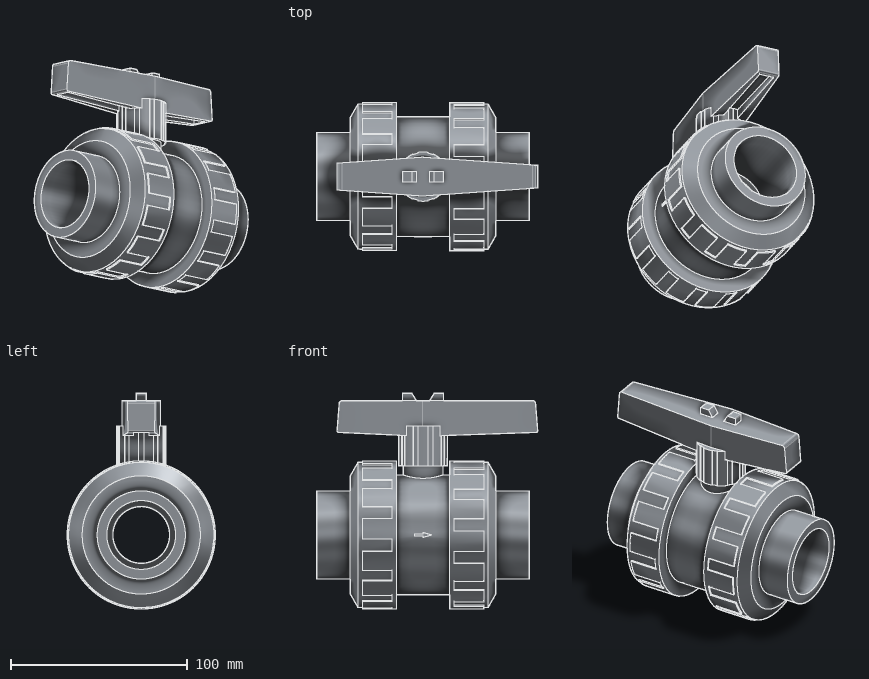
import cadquery as cq
import math


pipe_half_length = 60.25
pipe_radius = 25.0
socket_radius = 19.5
bore_radius = 16.0
body_radius = 34.0

nut_radius = 42.0
nut_root_radius = 41.2
nut_end_radius = 33.5
nut_inner_x = 15.0
nut_outer_x = 41.25
nut_chamfer_x = 36.85
gap_inner_x = 17.6
gap_outer_x = 34.4
tooth_count = 14
tooth_angle = 16.0
tooth_phase = 5.0

arrow_half_length = 4.8
arrow_shaft_half_width = 0.65
arrow_head_half_width = 1.4
arrow_height = 0.3

neck_radius = 11.3
hub_radius = 14.0
hub_groove_floor_radius = 13.6
hub_bottom_z = 39.05
hub_top_z = 61.8
hub_groove_count = 10
hub_groove_angle = 12.0

lever_right_x = 65.08
lever_left_x = -48.85
lever_ridge_x = -0.35
lever_top_z = 76.1
lever_end_bottom_z = 58.05
lever_mid_bottom_z = 55.8
lever_half_width = 11.0
lever_taper = 4.0
lever_end_draft = 4.5
lever_top_fillet = 1.8
lever_bottom_fillet = 1.0
lever_cavity_width = 8.7
lever_end_wall = 3.0

tab_top_z = 80.33
tab_width = 5.85
tab_outer_x = 11.7
tab_inner_base_x = 3.75
tab_inner_top_x = 6.3
tab_fillet = 0.4


def x_cylinder(radius, x_start, x_end):
    """Cylinder on the flow axis."""
    return cq.Workplane("YZ", origin=(x_start, 0, 0)).circle(radius).extrude(x_end - x_start)


def z_cylinder(radius, z_start, z_end):
    """Cylinder on the stem axis."""
    return cq.Workplane("XY", origin=(0, 0, z_start)).circle(radius).extrude(z_end - z_start)


def wedge(plane, origin, angle, width_angle, reach, depth):
    """Triangular prism with its apex on the axis, centred on the given angle."""
    corners = [(0, 0)]
    for side in (-1, 1):
        direction = math.radians(angle + side * width_angle / 2)
        corners.append((reach * math.cos(direction), reach * math.sin(direction)))
    return cq.Workplane(plane, origin=origin).polyline(corners).close().extrude(depth)


def make_nut():
    """Union nut on the -X side: chamfered outer end and shallow grip gaps."""
    nut = (
        cq.Workplane("XY")
        .moveTo(-nut_outer_x, 0)
        .lineTo(-nut_outer_x, nut_end_radius)
        .lineTo(-nut_chamfer_x, nut_root_radius)
        .lineTo(-gap_outer_x, nut_root_radius)
        .lineTo(-gap_outer_x, nut_radius)
        .lineTo(-nut_inner_x, nut_radius)
        .lineTo(-nut_inner_x, 0)
        .close()
        .revolve(360, (0, 0, 0), (1, 0, 0))
    )
    band = x_cylinder(nut_radius, -gap_outer_x, -gap_inner_x).cut(
        x_cylinder(nut_root_radius, -gap_outer_x, -gap_inner_x)
    )
    pitch = 360 / tooth_count
    first_tooth = 180 - tooth_phase
    gap_angle = pitch - tooth_angle
    for index in range(tooth_count):
        angle = first_tooth + (index + 0.5) * pitch
        sector = wedge(
            "YZ", (-gap_outer_x, 0, 0), angle, gap_angle, 2 * nut_radius, gap_outer_x - gap_inner_x
        )
        nut = nut.cut(band.intersect(sector))
    return nut


def make_arrow():
    """Raised flow arrow on the -Y side of the body, pointing along +X."""
    outline = [
        (-arrow_half_length, -arrow_shaft_half_width),
        (0, -arrow_shaft_half_width),
        (0, -arrow_head_half_width),
        (arrow_half_length, 0),
        (0, arrow_head_half_width),
        (0, arrow_shaft_half_width),
        (-arrow_half_length, arrow_shaft_half_width),
    ]
    prism = cq.Workplane("XZ").polyline(outline).close().extrude(2 * body_radius)
    return prism.intersect(
        x_cylinder(body_radius + arrow_height, -arrow_half_length, arrow_half_length)
    )


def make_hub():
    """Lever hub with shallow lengthwise grooves, on a plain neck."""
    hub = z_cylinder(hub_radius, hub_bottom_z, hub_top_z)
    skin = hub.cut(z_cylinder(hub_groove_floor_radius, hub_bottom_z, hub_top_z))
    for index in range(hub_groove_count):
        angle = index * 360 / hub_groove_count
        sector = wedge(
            "XY", (0, 0, hub_bottom_z), angle, hub_groove_angle, 2 * hub_radius, hub_top_z - hub_bottom_z
        )
        hub = hub.cut(skin.intersect(sector))
    return hub.union(z_cylinder(neck_radius, 0, hub_bottom_z))


def make_lever():
    """Tapered lever with drafted ends and a cavity open at the underside."""
    end_inset = (lever_top_z - lever_end_bottom_z) * math.tan(math.radians(lever_end_draft))
    profile = [
        (lever_left_x, lever_end_bottom_z),
        (lever_ridge_x, lever_mid_bottom_z),
        (lever_right_x, lever_end_bottom_z),
        (lever_right_x - end_inset, lever_top_z),
        (lever_left_x + end_inset, lever_top_z),
    ]
    side = cq.Workplane("XZ").polyline(profile).close().extrude(lever_half_width, both=True)
    side = side.faces(">Z").edges("|Y").fillet(lever_top_fillet)
    side = side.edges("|Y and (<X or >X)").fillet(lever_bottom_fillet)

    slope = math.tan(math.radians(lever_taper))
    left_half_width = lever_half_width - slope * (lever_ridge_x - lever_left_x)
    right_half_width = lever_half_width - slope * (lever_right_x - lever_ridge_x)
    plan = [
        (lever_left_x, -left_half_width),
        (lever_ridge_x, -lever_half_width),
        (lever_right_x, -right_half_width),
        (lever_right_x, right_half_width),
        (lever_ridge_x, lever_half_width),
        (lever_left_x, left_half_width),
    ]
    footprint = cq.Workplane("XY").polyline(plan).close().extrude(lever_top_z)
    lever = side.intersect(footprint)

    cavity_start_x = lever_left_x + lever_end_wall
    cavity_end_x = lever_right_x - lever_end_wall
    cavity = cq.Workplane("XY").box(
        cavity_end_x - cavity_start_x, lever_cavity_width, hub_top_z, centered=(False, True, False)
    )
    return lever.cut(cavity.translate((cavity_start_x, 0, 0)))


def make_tab():
    """Position tab on the +X side of the lever centre."""
    outline = [
        (tab_inner_base_x, lever_top_z),
        (tab_outer_x, lever_top_z),
        (tab_outer_x, tab_top_z),
        (tab_inner_top_x, tab_top_z),
    ]
    tab = cq.Workplane("XZ").polyline(outline).close().extrude(tab_width / 2, both=True)
    return tab.edges("|Y and >X and >Z").fillet(tab_fillet)


body = x_cylinder(pipe_radius, -pipe_half_length, pipe_half_length)
body = body.union(x_cylinder(body_radius, -nut_inner_x, nut_inner_x))
body = body.union(make_arrow())

nut = make_nut()
tab = make_tab()
result = body.union(nut).union(nut.rotate((0, 0, 0), (0, 0, 1), 180))
result = result.union(make_lever()).union(make_hub())
result = result.union(tab).union(tab.mirror("YZ"))

result = result.cut(x_cylinder(bore_radius, -pipe_half_length, pipe_half_length))
for end in (-1, 1):
    result = result.cut(x_cylinder(socket_radius, end * nut_inner_x, end * pipe_half_length))